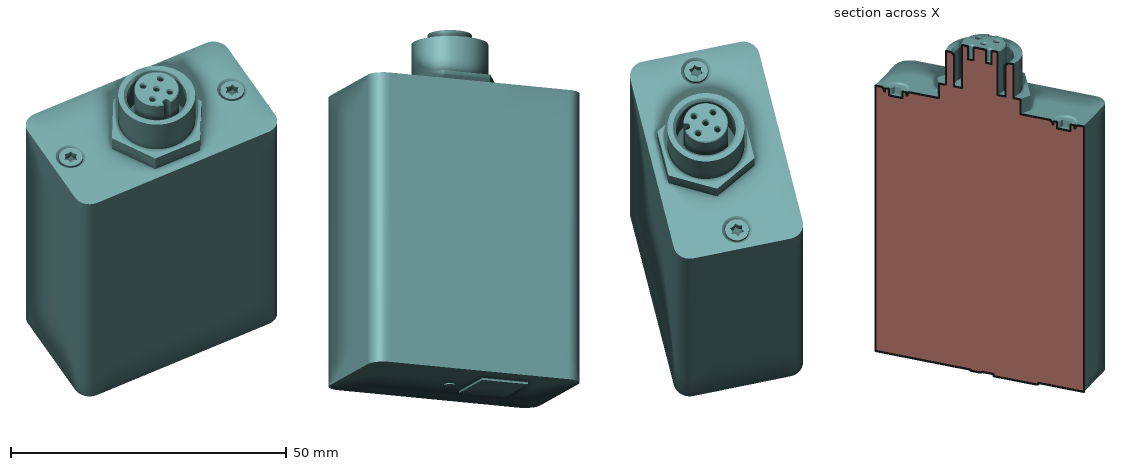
import cadquery as cq
import math

BODY_X = 24.0
BODY_Y = 41.3
BODY_HEIGHT = 54.0
BODY_CORNER_RADIUS = 3.0

CONNECTOR_X = 2.0
NUT_SIDES = 6
NUT_TURN = 90
NUT_ACROSS_FLATS = 16.0
NUT_HEIGHT = 3.0
SLEEVE_DIAMETER = 14.0
SLEEVE_HEIGHT = 6.9
BORE_DIAMETER = 10.9
BORE_CHAMFER = 0.5
INSERT_DIAMETER = 8.1
INSERT_PROTRUSION = 1.85
INSERT_CHAMFER = 0.165
KEYWAY_WIDTH = 1.3
KEYWAY_DEPTH = 1.1
CONTACT_DIAMETER = 1.0
CONTACT_MOUTH_DIAMETER = 1.4
CONTACT_MOUTH_DEPTH = 0.3
CONTACT_DEPTH = 2.65
CONTACT_OFFSET = 1.8

SCREW_Y = 16.65
COUNTERSINK_DIAMETER = 5.5
SEAT_DIAMETER = 4.5
COUNTERSINK_DEPTH = 0.45
SEAT_DEPTH = 0.8
SCREW_HEAD_DIAMETER = 4.3
SCREW_HEAD_DEPTH = 0.1
STAR_TIP_RADIUS = 1.3
STAR_ROOT_RADIUS = 0.9
STAR_LOBES = 6
STAR_DEPTH = 1.3

LABEL_X = 11.1
LABEL_Y = 9.0
LABEL_THICKNESS = 0.4
LABEL_CENTER = (-1.5, -7.15)
LENS_DIAMETER = 2.1
LENS_THICKNESS = 0.2
LENS_CENTER = (0, 0.8)

NUT_TOP = BODY_HEIGHT + NUT_HEIGHT
SLEEVE_TOP = NUT_TOP + SLEEVE_HEIGHT
INSERT_TOP = SLEEVE_TOP + INSERT_PROTRUSION


def cylinder(diameter, x, y, z_bottom, height):
    """Upright cylinder whose lower face is centred on (x, y, z_bottom)."""
    return cq.Workplane("XY", origin=(x, y, z_bottom)).circle(diameter / 2).extrude(height)


def funnel(top_diameter, bottom_diameter, depth, x, y, z_top):
    """Cone narrowing downwards from an upper face centred on (x, y, z_top)."""
    return (
        cq.Workplane("XY", origin=(x, y, z_top))
        .circle(top_diameter / 2)
        .workplane(offset=-depth)
        .circle(bottom_diameter / 2)
        .loft()
    )


def housing():
    box = cq.Workplane("XY").box(BODY_X, BODY_Y, BODY_HEIGHT, centered=(True, True, False))
    return box.edges("|Z").fillet(BODY_CORNER_RADIUS)


def nut():
    """Hexagon with two corners pointing along Y."""
    across_corners = NUT_ACROSS_FLATS / math.cos(math.pi / NUT_SIDES)
    return (
        cq.Workplane("XY", origin=(CONNECTOR_X, 0, BODY_HEIGHT))
        .transformed(rotate=(0, 0, NUT_TURN))
        .polygon(NUT_SIDES, across_corners)
        .extrude(NUT_HEIGHT)
    )


def sleeve():
    """Tube around the insert, with a chamfered mouth."""
    mouth_diameter = BORE_DIAMETER + 2 * BORE_CHAMFER
    tube = cylinder(SLEEVE_DIAMETER, CONNECTOR_X, 0, NUT_TOP, SLEEVE_HEIGHT)
    bore = cylinder(BORE_DIAMETER, CONNECTOR_X, 0, NUT_TOP, SLEEVE_HEIGHT)
    mouth = funnel(mouth_diameter, BORE_DIAMETER, BORE_CHAMFER, CONNECTOR_X, 0, SLEEVE_TOP)
    return tube.cut(bore).cut(mouth)


def contact_hole(x, y):
    """Blind contact hole with a funnel-shaped mouth, as a cutting solid."""
    hole = cylinder(CONTACT_DIAMETER, x, y, INSERT_TOP - CONTACT_DEPTH, CONTACT_DEPTH)
    mouth = funnel(CONTACT_MOUTH_DIAMETER, CONTACT_DIAMETER, CONTACT_MOUTH_DEPTH, x, y, INSERT_TOP)
    return hole.union(mouth)


def insert():
    """Contact carrier with a rounded keyway on +X and five contact holes."""
    height = INSERT_TOP - NUT_TOP
    core = cylinder(INSERT_DIAMETER, CONNECTOR_X, 0, NUT_TOP, height).faces(">Z").chamfer(INSERT_CHAMFER)
    keyway = (
        cq.Workplane("XY", origin=(CONNECTOR_X + INSERT_DIAMETER / 2 - KEYWAY_DEPTH, 0, NUT_TOP))
        .center(KEYWAY_WIDTH, 0)
        .slot2D(2 * KEYWAY_WIDTH, KEYWAY_WIDTH)
        .extrude(height)
    )
    core = core.cut(keyway)
    contacts = [(0, 0)]
    offsets = (-CONTACT_OFFSET, CONTACT_OFFSET)
    contacts += [(x, y) for x in offsets for y in offsets]
    for x, y in contacts:
        core = core.cut(contact_hole(CONNECTOR_X + x, y))
    return core


def screw_recess(y):
    """Countersunk seat minus the screw head standing in it, plus the head's star socket."""
    cone = funnel(COUNTERSINK_DIAMETER, SEAT_DIAMETER, COUNTERSINK_DEPTH, 0, y, BODY_HEIGHT)
    seat = cylinder(SEAT_DIAMETER, 0, y, BODY_HEIGHT - SEAT_DEPTH, SEAT_DEPTH)
    head = cylinder(SCREW_HEAD_DIAMETER, 0, y, BODY_HEIGHT - SEAT_DEPTH, SEAT_DEPTH - SCREW_HEAD_DEPTH)
    star = []
    for corner in range(2 * STAR_LOBES):
        radius = STAR_ROOT_RADIUS if corner % 2 else STAR_TIP_RADIUS
        angle = math.pi / 2 + corner * math.pi / STAR_LOBES
        star.append((radius * math.cos(angle), radius * math.sin(angle)))
    socket = (
        cq.Workplane("XY", origin=(0, y, BODY_HEIGHT - SCREW_HEAD_DEPTH))
        .polyline(star)
        .close()
        .extrude(-STAR_DEPTH)
    )
    return cone.union(seat).cut(head).union(socket)


def label():
    return (
        cq.Workplane("XY")
        .center(*LABEL_CENTER)
        .rect(LABEL_X, LABEL_Y)
        .extrude(-LABEL_THICKNESS)
    )


def lens():
    return cylinder(LENS_DIAMETER, *LENS_CENTER, -LENS_THICKNESS, LENS_THICKNESS)


result = housing()
for feature in (nut(), sleeve(), insert(), label(), lens()):
    result = result.union(feature)
for side in (-1, 1):
    result = result.cut(screw_recess(side * SCREW_Y))